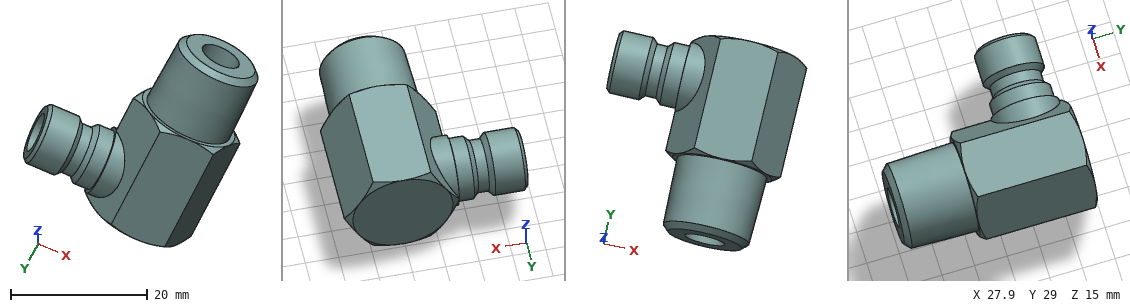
import cadquery as cq
import math

total_length = 29.0
across_flats = 15.0
body_length = 18.0
corner_chamfer_angle = 30.0
corner_radius = across_flats / 2 / math.cos(math.radians(30))

stud_length = total_length - body_length
stud_root_diameter = 13.5
stud_middle_diameter = 13.25
stud_tip_diameter = 12.93
stud_end_diameter = 11.08
stud_middle = 5.0
stud_chamfer_length = 0.9

spigot_reach = 27.85 - corner_radius
spigot_axis_y = body_length - 6.15
spigot_diameter = 9.4
spigot_chamfer = 0.52
groove_diameter = 7.83
groove_start = 4.95
groove_floor_length = 1.62
groove_flank = (spigot_diameter - groove_diameter) / 2
collar_diameter = 10.5

bore_diameter = 6.0


def hex_body():
    """Hexagonal bar with its corners turned away conically at both ends."""
    bar = (
        cq.Workplane("XZ")
        .polygon(6, 2 * corner_radius)
        .extrude(-body_length)
    )
    flat_radius = across_flats / 2
    drop = (corner_radius - flat_radius) * math.tan(math.radians(corner_chamfer_angle))
    turned_blank = (
        cq.Workplane("XY")
        .moveTo(0, 0)
        .lineTo(flat_radius, 0)
        .lineTo(corner_radius, drop)
        .lineTo(corner_radius, body_length - drop)
        .lineTo(flat_radius, body_length)
        .lineTo(0, body_length)
        .close()
        .revolve(360, (0, 0), (0, 1))
    )
    return bar.intersect(turned_blank)


def tapered_stud():
    """Tapered stud with a chamfered free end."""
    return (
        cq.Workplane("XY")
        .moveTo(0, 0)
        .lineTo(stud_root_diameter / 2, 0)
        .lineTo(stud_middle_diameter / 2, -stud_middle)
        .lineTo(stud_tip_diameter / 2, -stud_length + stud_chamfer_length)
        .lineTo(stud_end_diameter / 2, -stud_length)
        .lineTo(0, -stud_length)
        .close()
        .revolve(360, (0, 0), (0, 1))
    )


def side_spigot():
    """Grooved spigot with a collar that starts level with the hexagon corner."""
    radius = spigot_diameter / 2
    floor_start = groove_start + groove_flank
    floor_end = floor_start + groove_floor_length
    groove_end = floor_end + groove_flank
    collar_start = spigot_reach - corner_radius
    profile = [
        (0, 0),
        (0, radius - spigot_chamfer),
        (spigot_chamfer, radius),
        (groove_start, radius),
        (floor_start, groove_diameter / 2),
        (floor_end, groove_diameter / 2),
        (groove_end, radius),
        (collar_start, radius),
        (collar_start, collar_diameter / 2),
        (spigot_reach, collar_diameter / 2),
        (spigot_reach, 0),
    ]
    return (
        cq.Workplane("XY", origin=(-spigot_reach, spigot_axis_y, 0))
        .polyline(profile)
        .close()
        .revolve(360, (0, 0), (1, 0))
    )


def elbow_bore():
    """Two equal bores; the stud bore ends at the far side of the spigot bore."""
    stud_bore_length = stud_length + spigot_axis_y + bore_diameter / 2
    stud_bore = (
        cq.Workplane("XZ", origin=(0, -stud_length, 0))
        .circle(bore_diameter / 2)
        .extrude(-stud_bore_length)
    )
    spigot_bore = (
        cq.Workplane("YZ", origin=(-spigot_reach, spigot_axis_y, 0))
        .circle(bore_diameter / 2)
        .extrude(spigot_reach)
    )
    return stud_bore.union(spigot_bore)


result = hex_body().union(tapered_stud()).union(side_spigot()).cut(elbow_bore())